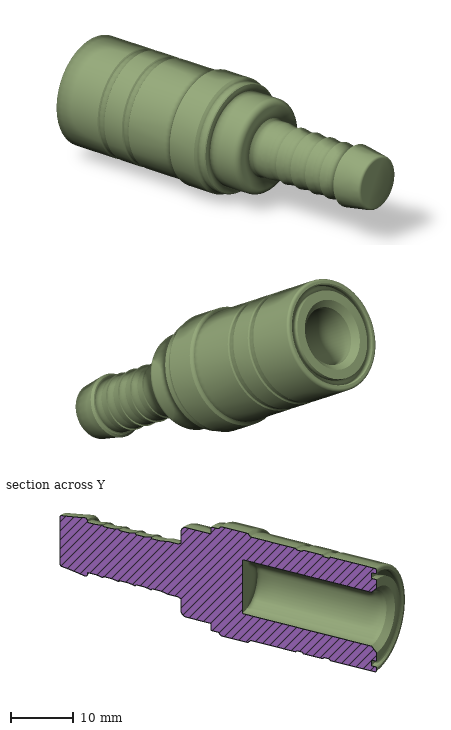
import cadquery as cq
import math


SLEEVE_RADIUS = 18.5 / 2
SLEEVE_END = 30.9
FRONT_ROUND = 0.45
REAR_CHAMFER = 0.15

GROOVE_RADIUS = 18.0 / 2
GROOVE_STARTS = (8.7, 13.7)
GROOVE_WIDTH = 1.4
GROOVE_SLOPE = 0.2

COLLAR_RADIUS = 19.5 / 2
COLLAR_START = 23.5
COLLAR_END = 29.5
COLLAR_BEVEL = 0.5

NECK_RADIUS = 16.0 / 2
NECK_END = 36.5
NECK_ROUND = 1.0

TAIL_END = 59.0
CORE_RADIUS = 9.0 / 2
RIB_RADIUS = 9.5 / 2
RIB_COUNT = 5
RIB_PITCH = 3.0
FIRST_RIB = 38.9
RIB_TAPER_ANGLE = 10.0
RIB_TAPER_LENGTH = (RIB_RADIUS - CORE_RADIUS) / math.tan(math.radians(RIB_TAPER_ANGLE))
ROOT_FLARE = 0.5
ROOT_FLARE_HEIGHT = 0.2

BARB_START = 53.8
BARB_RADIUS = 10.5 / 2
BARB_CHAMFER = 0.35
TIP_RADIUS = 9.0 / 2
TIP_ROUND = 0.4

BORE_RADIUS = 9.5 / 2
BORE_DEPTH = 25.0
LEAD_IN_RADIUS = 11.5 / 2
LEAD_IN_DEPTH = 1.0
LIP_RADIUS = 14.6 / 2
RECESS_RADIUS = 16.5 / 2
RECESS_DEPTH = 1.0
RECESS_CHAMFER = 0.2


def turned(points):
    """Solid of revolution about X from a closed (x, radius) outline."""
    return cq.Workplane("XY").polyline(points).close().revolve(360, (0, 0, 0), (1, 0, 0))


def make_sleeve():
    """Plain sleeve with a rounded front edge and a small chamfer at the back."""
    sleeve = cq.Workplane("YZ").circle(SLEEVE_RADIUS).extrude(SLEEVE_END)
    sleeve = sleeve.faces("<X").edges().fillet(FRONT_ROUND)
    return sleeve.faces(">X").edges().chamfer(REAR_CHAMFER)


def make_groove(start):
    """Cutter for a sleeve groove with sloping walls."""
    end = start + GROOVE_WIDTH
    return turned([
        (start, SLEEVE_RADIUS),
        (start + GROOVE_SLOPE, GROOVE_RADIUS),
        (end - GROOVE_SLOPE, GROOVE_RADIUS),
        (end, SLEEVE_RADIUS),
    ])


def make_collar():
    """Raised collar, bevelled down to the sleeve on both flanks."""
    return turned([
        (COLLAR_START, 0),
        (COLLAR_START, SLEEVE_RADIUS),
        (COLLAR_START + COLLAR_BEVEL, COLLAR_RADIUS),
        (COLLAR_END - COLLAR_BEVEL, COLLAR_RADIUS),
        (COLLAR_END, SLEEVE_RADIUS),
        (COLLAR_END, 0),
    ])


def make_neck():
    """Neck with a rounded rear edge."""
    neck = cq.Workplane("YZ").circle(NECK_RADIUS).extrude(NECK_END)
    return neck.faces(">X").edges().fillet(NECK_ROUND)


def make_tail():
    """Hose tail: flared root, saw-tooth ribs and an end barb."""
    outline = [
        (SLEEVE_END, 0),
        (SLEEVE_END, RIB_RADIUS + ROOT_FLARE_HEIGHT),
        (NECK_END, RIB_RADIUS + ROOT_FLARE_HEIGHT),
        (NECK_END + ROOT_FLARE, RIB_RADIUS),
    ]
    for index in range(RIB_COUNT):
        crest = FIRST_RIB + index * RIB_PITCH
        if index > 0:
            outline.append((crest, CORE_RADIUS))
        outline.append((crest, RIB_RADIUS))
        outline.append((crest + RIB_TAPER_LENGTH, CORE_RADIUS))
    outline += [
        (BARB_START, CORE_RADIUS),
        (BARB_START, BARB_RADIUS - BARB_CHAMFER),
        (BARB_START + BARB_CHAMFER, BARB_RADIUS),
        (TAIL_END, TIP_RADIUS),
        (TAIL_END, 0),
    ]
    return turned(outline).faces(">X").edges().fillet(TIP_ROUND)


def make_socket():
    """Cutter for the blind bore with its conical lead-in."""
    return turned([
        (0, 0),
        (0, LEAD_IN_RADIUS),
        (LEAD_IN_DEPTH, BORE_RADIUS),
        (BORE_DEPTH, BORE_RADIUS),
        (BORE_DEPTH, 0),
    ])


def make_recess():
    """Cutter for the annular recess in the front face, chamfered at its outer edge."""
    return turned([
        (0, LIP_RADIUS),
        (RECESS_DEPTH, LIP_RADIUS),
        (RECESS_DEPTH, RECESS_RADIUS),
        (RECESS_CHAMFER, RECESS_RADIUS),
        (0, RECESS_RADIUS + RECESS_CHAMFER),
    ])


body = make_sleeve().union(make_collar()).union(make_neck()).union(make_tail())
for groove_start in GROOVE_STARTS:
    body = body.cut(make_groove(groove_start))
result = body.cut(make_recess()).cut(make_socket())